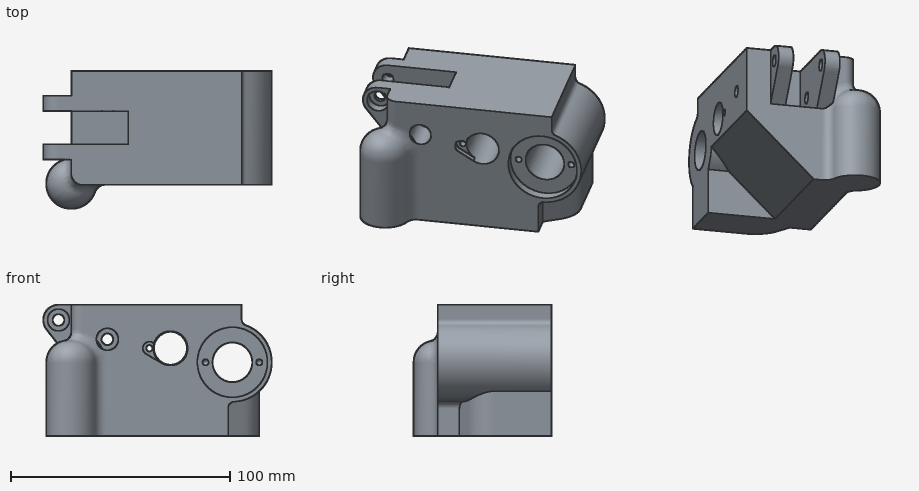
import cadquery as cq
import math

BLOCK_DEPTH = 52.0
BLOCK_HEIGHT = 60.0
TOP_RIGHT_X = 77.75
LOWER_RIGHT_X = 71.5
FRONT_CORNER_RADIUS = 5.0

RING_X = 73.5
RING_Z = 33.7
RING_RADIUS = 18.0
RING_BLEND_RADIUS = 3.0
RECESS_RADIUS = 16.0
RECESS_DEPTH = 5.0
RING_BORE_RADIUS = 9.0
SCREW_OFFSET = 12.25
SCREW_RADIUS = 1.4
SCREW_DEPTH = 8.0
DRILL_TIP_ANGLE = 118.0

LEG_LEFT_X = 61.0
LEG_RIGHT_X = 85.8
LEG_CORNER_RADIUS = 14.0
LEG_WALL_START_Y = 10.0
LEG_WALL_ANGLE = math.radians(30.0)

COLUMN_Y = 0.5
COLUMN_RADIUS = 11.5
DOME_Z = RING_Z
DOME_RADIUS = 10.0
COLUMN_BLEND_RADIUS = 5.0

EAR_X = -5.85
EAR_RADIUS = 7.0
EAR_Z = BLOCK_HEIGHT - EAR_RADIUS
EAR_FRONT_Y = 11.5
EAR_BACK_Y = 40.7
EAR_ROOT_OVERLAP = 5.0
SLOT_FRONT_Y = 18.6
SLOT_BACK_Y = 33.6
SLOT_LENGTH = 26.0
SLOT_FLOOR_Z = 34.2

PIN_RADIUS = 2.6
PIN_HEAD_RADIUS = 5.0
PIN_HEAD_DEPTH = 5.0
PIN_HEAD_END_Y = EAR_FRONT_Y + PIN_HEAD_DEPTH
WALL_PIN_X = 16.45
WALL_PIN_Z = 44.2

SHAFT_X = 45.25
SHAFT_Z = 40.1
SHAFT_FRONT_RADIUS = 7.85
SHAFT_BACK_RADIUS = 7.5
PILOT_X = 35.65
PILOT_RADIUS = 1.4
LOBE_RADIUS = 3.0
LOBE_DEPTH = 3.0

RELIEF_FRONT_Y = 20.2
RELIEF_TOP_Z = 30.0


def along_y(x, z, radius, start_y, end_y):
    """Cylinder with its axis parallel to Y."""
    base = cq.Vector(x, start_y, z)
    return cq.Workplane(obj=cq.Solid.makeCylinder(radius, end_y - start_y, base, cq.Vector(0, 1, 0)))


def cone_along_y(x, z, start_radius, end_radius, start_y, end_y):
    """Cone with its axis parallel to Y."""
    base = cq.Vector(x, start_y, z)
    axis = cq.Vector(0, 1, 0)
    return cq.Workplane(obj=cq.Solid.makeCone(start_radius, end_radius, end_y - start_y, base, axis))


def through_y(x, z, radius):
    """Cylinder along Y through the whole depth of the block."""
    return along_y(x, z, radius, 0, BLOCK_DEPTH)


def front_profile(start_y):
    """XZ sketch plane facing -Y; a negative extrusion runs back into the block."""
    plane = cq.Plane(origin=(0, start_y, 0), xDir=(1, 0, 0), normal=(0, -1, 0))
    return cq.Workplane(plane)


def ring_blend(wall_x, side):
    """Blend centre height and its contact point, for the arc joining a vertical wall to the boss.

    side is +1 above the boss and -1 below it.
    """
    centre_x = wall_x + RING_BLEND_RADIUS
    reach = RING_RADIUS + RING_BLEND_RADIUS
    centre_z = RING_Z + side * math.sqrt(reach**2 - (centre_x - RING_X) ** 2)
    fraction = RING_RADIUS / reach
    contact = (
        RING_X + fraction * (centre_x - RING_X),
        RING_Z + fraction * (centre_z - RING_Z),
    )
    return centre_z, contact


def make_block():
    """Main block with the bearing boss blended into its right side."""
    lower_z, lower_contact = ring_blend(LOWER_RIGHT_X, -1)
    upper_z, upper_contact = ring_blend(TOP_RIGHT_X, 1)
    outline = (
        front_profile(0)
        .lineTo(LOWER_RIGHT_X, 0)
        .lineTo(LOWER_RIGHT_X, lower_z)
        .radiusArc(lower_contact, RING_BLEND_RADIUS)
        .threePointArc((RING_X + RING_RADIUS, RING_Z), upper_contact)
        .radiusArc((TOP_RIGHT_X, upper_z), RING_BLEND_RADIUS)
        .lineTo(TOP_RIGHT_X, BLOCK_HEIGHT)
        .lineTo(0, BLOCK_HEIGHT)
        .close()
    )
    block = outline.extrude(-BLOCK_DEPTH)
    return block.edges("|Z and <X and <Y").fillet(FRONT_CORNER_RADIUS)


def add_column(block):
    """Round column with a domed top, blended into both faces of the block corner."""
    height = DOME_Z + DOME_RADIUS
    column = cq.Workplane().center(0, COLUMN_Y).circle(COLUMN_RADIUS).extrude(height)
    column = column.faces(">Z").edges().fillet(DOME_RADIUS)
    joined = block.union(column)
    seam = [edge for edge in joined.edges().vals() if is_column_seam(edge)]
    return joined.newObject(seam).fillet(COLUMN_BLEND_RADIUS)


def is_column_seam(edge):
    """True for edges where the column or its dome meets a face of the block."""
    tolerance = 1e-3
    middle = edge.positionAt(0.5)
    axis_distance = math.hypot(middle.x, middle.y - COLUMN_Y)
    on_column = axis_distance < COLUMN_RADIUS + tolerance
    on_front = abs(middle.y) < tolerance and middle.x > 0
    on_left = abs(middle.x) < tolerance and middle.y > COLUMN_Y
    corner_offset = math.hypot(middle.x - FRONT_CORNER_RADIUS, middle.y - FRONT_CORNER_RADIUS)
    on_corner = abs(corner_offset - FRONT_CORNER_RADIUS) < tolerance
    below_top = tolerance < middle.z < DOME_Z + DOME_RADIUS
    return on_column and below_top and (on_front or on_left or on_corner)


def make_relief():
    """Wedge removed from under the back left, clear of the bearing boss."""
    wedge = (
        cq.Workplane("YZ")
        .moveTo(RELIEF_FRONT_Y, 0)
        .lineTo(BLOCK_DEPTH, 0)
        .lineTo(BLOCK_DEPTH, RELIEF_TOP_Z)
        .close()
        .extrude(LEG_LEFT_X)
    )
    return wedge.cut(through_y(RING_X, RING_Z, RING_RADIUS))


def make_leg():
    """Leg under the boss, as tall as the boss axis."""
    arc_centre_x = LEG_RIGHT_X - LEG_CORNER_RADIUS
    arc_start_x = arc_centre_x + LEG_CORNER_RADIUS * math.sin(LEG_WALL_ANGLE)
    arc_start_y = LEG_WALL_START_Y + (arc_start_x - LOWER_RIGHT_X) * math.tan(LEG_WALL_ANGLE)
    arc_end_y = arc_start_y + LEG_CORNER_RADIUS * math.cos(LEG_WALL_ANGLE)
    return (
        cq.Workplane()
        .moveTo(LEG_LEFT_X, LEG_WALL_START_Y)
        .lineTo(LOWER_RIGHT_X, LEG_WALL_START_Y)
        .lineTo(arc_start_x, arc_start_y)
        .radiusArc((LEG_RIGHT_X, arc_end_y), -LEG_CORNER_RADIUS)
        .lineTo(LEG_RIGHT_X, BLOCK_DEPTH)
        .lineTo(LEG_LEFT_X, BLOCK_DEPTH)
        .close()
        .extrude(RING_Z)
    )


def make_ear(start_y, end_y):
    """Hinge ear: flat top, round nose and an underside sloping down to the slot floor level."""
    drop = EAR_Z - SLOT_FLOOR_Z
    root_distance = math.hypot(EAR_X, drop)
    to_root = math.atan2(-drop, -EAR_X)
    contact_angle = to_root - math.acos(EAR_RADIUS / root_distance)
    contact = (
        EAR_X + EAR_RADIUS * math.cos(contact_angle),
        EAR_Z + EAR_RADIUS * math.sin(contact_angle),
    )
    return (
        front_profile(start_y)
        .moveTo(EAR_ROOT_OVERLAP, BLOCK_HEIGHT)
        .lineTo(EAR_X, BLOCK_HEIGHT)
        .threePointArc((EAR_X - EAR_RADIUS, EAR_Z), contact)
        .lineTo(0, SLOT_FLOOR_Z)
        .lineTo(EAR_ROOT_OVERLAP, SLOT_FLOOR_Z)
        .close()
        .extrude(start_y - end_y)
    )


def make_slot():
    """Open-ended slot between the ears, cut into the top left of the block."""
    width = SLOT_BACK_Y - SLOT_FRONT_Y
    height = BLOCK_HEIGHT - SLOT_FLOOR_Z
    slot = cq.Workplane().box(SLOT_LENGTH, width, height, centered=False)
    return slot.translate((0, SLOT_FRONT_Y, SLOT_FLOOR_Z))


def make_pin_hole(x, z):
    """Pin hole through the whole depth with a wider head pocket from the front."""
    return through_y(x, z, PIN_RADIUS).union(along_y(x, z, PIN_HEAD_RADIUS, 0, PIN_HEAD_END_Y))


def make_lobe():
    """Shallow lobe: a round end joined to the shaft bore by a line tangent to both below."""
    spacing = SHAFT_X - PILOT_X
    tangent_angle = math.asin((SHAFT_FRONT_RADIUS - LOBE_RADIUS) / spacing)

    def contact(x, radius):
        return (x - radius * math.sin(tangent_angle), SHAFT_Z - radius * math.cos(tangent_angle))

    web = (
        front_profile(0)
        .moveTo(PILOT_X, SHAFT_Z)
        .lineTo(*contact(PILOT_X, LOBE_RADIUS))
        .lineTo(*contact(SHAFT_X, SHAFT_FRONT_RADIUS))
        .lineTo(SHAFT_X, SHAFT_Z)
        .close()
        .extrude(-LOBE_DEPTH)
    )
    return web.union(along_y(PILOT_X, SHAFT_Z, LOBE_RADIUS, 0, LOBE_DEPTH))


def make_screw_hole(x):
    """Blind screw hole in the recess floor, ending in a drill tip."""
    end_y = RECESS_DEPTH + SCREW_DEPTH
    tip_length = SCREW_RADIUS / math.tan(math.radians(DRILL_TIP_ANGLE / 2))
    tip = cone_along_y(x, RING_Z, SCREW_RADIUS, 0, end_y, end_y + tip_length)
    return along_y(x, RING_Z, SCREW_RADIUS, RECESS_DEPTH, end_y).union(tip)


body = add_column(make_block())
body = body.cut(make_relief()).union(make_leg())
body = body.union(make_ear(EAR_FRONT_Y, SLOT_FRONT_Y)).union(make_ear(SLOT_BACK_Y, EAR_BACK_Y))
body = body.cut(make_slot())

body = body.cut(make_pin_hole(EAR_X, EAR_Z))
body = body.cut(make_pin_hole(WALL_PIN_X, WALL_PIN_Z))

body = body.cut(cone_along_y(SHAFT_X, SHAFT_Z, SHAFT_FRONT_RADIUS, SHAFT_BACK_RADIUS, 0, BLOCK_DEPTH))
body = body.cut(make_lobe()).cut(through_y(PILOT_X, SHAFT_Z, PILOT_RADIUS))

body = body.cut(through_y(RING_X, RING_Z, RING_BORE_RADIUS))
body = body.cut(along_y(RING_X, RING_Z, RECESS_RADIUS, 0, RECESS_DEPTH))
for screw_x in (RING_X - SCREW_OFFSET, RING_X + SCREW_OFFSET):
    body = body.cut(make_screw_hole(screw_x))

result = body